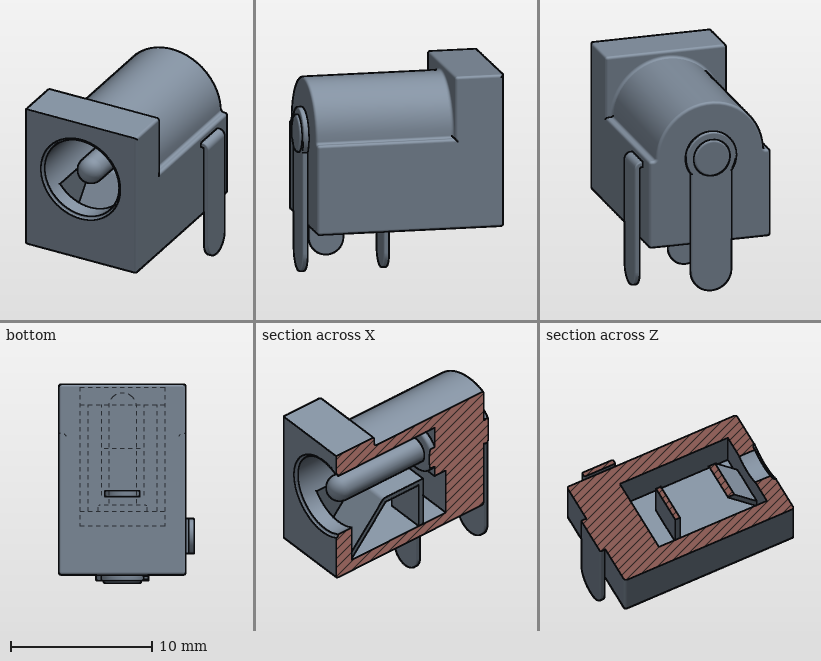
import cadquery as cq
import math


body_width = 9.0
body_length = 13.5
body_height = 11.0
front_block_length = 3.5
axis_z = 6.5
barrel_radius = 4.0
body_round = 0.2

bore_radius = 3.0
bore_depth = 9.0
boss_diameter = 3.5
boss_length = 0.5
pin_diameter = 1.95
pin_tip_y = 0.6

chamber_front_y = 1.45
chamber_end_y = 10.0
chamber_floor_z = 1.0
chamber_roof_z = axis_z - boss_diameter / 2

sheet = 0.4
sheet_round = 0.1
narrow_leg_width = 2.5
wide_leg_width = 3.0
leg_tip_z = -3.5

spring_leg_y = 7.75
spring_top_z = 5.06
spring_ramp_angle = 49.0
spring_ramp_end_y = 4.35
spring_bend_radius = 0.44

side_leg_y = 10.75
side_leg_top_z = 6.0
side_leg_gap = 0.19
side_bend_radius = 0.5
anchor_depth = 0.58

rear_disc_radius = 1.87
rivet_diameter = 2.7
rivet_height = 0.19
rivet_round = 0.17

half_width = body_width / 2


def y_cylinder(radius, y_start, y_end):
    """Cylinder on the socket axis between two Y positions."""
    plane = cq.Workplane("XZ", origin=(0, y_start, axis_z))
    return plane.circle(radius).extrude(y_start - y_end)


def make_housing():
    """Rounded block with a barrel on its shoulders behind a taller front block.

    The front top edge and the corners between shoulders and front block stay sharp.
    """
    placing = (True, False, False)
    lower = cq.Workplane("XY").box(body_width, body_length, axis_z, centered=placing)
    front = cq.Workplane("XY").box(body_width, front_block_length, body_height, centered=placing)
    barrel = y_cylinder(barrel_radius, 0, body_length)
    housing = lower.union(front).union(barrel).clean()
    shoulder_middle_x = (half_width + barrel_radius) / 2
    sharp_points = [
        (0, 0, body_height),
        (shoulder_middle_x, front_block_length, axis_z),
        (-shoulder_middle_x, front_block_length, axis_z),
    ]
    rounded_edges = housing.edges()
    for point in sharp_points:
        sharp_edge = cq.selectors.NearestToPointSelector(point)
        rounded_edges = rounded_edges.edges(cq.selectors.InverseSelector(sharp_edge))
    return rounded_edges.fillet(body_round)


def make_socket_cavity():
    """Bore with a rounded mouth, joined to the spring chamber below it."""
    bore = y_cylinder(bore_radius, 0, bore_depth)
    mouth_radius = bore_radius + body_round
    mouth = (
        cq.Workplane("XY")
        .lineTo(mouth_radius, 0)
        .radiusArc((bore_radius, body_round), -body_round)
        .lineTo(0, body_round)
        .close()
        .revolve(360, (0, 0), (0, 1))
        .translate((0, 0, axis_z))
    )
    chamber = cq.Workplane("XY").box(
        2 * bore_radius,
        chamber_end_y - chamber_front_y,
        chamber_roof_z - chamber_floor_z,
        centered=(True, False, False),
    )
    return bore.union(mouth).union(chamber.translate((0, chamber_front_y, chamber_floor_z)))


def make_centre_pin():
    """Round-nosed pin standing on a boss at the bottom of the bore."""
    pin_radius = pin_diameter / 2
    nose_y = pin_tip_y + pin_radius
    pin = (
        cq.Workplane("XY")
        .moveTo(0, pin_tip_y)
        .radiusArc((pin_radius, nose_y), -pin_radius)
        .lineTo(pin_radius, body_length)
        .lineTo(0, body_length)
        .close()
        .revolve(360, (0, 0), (0, 1))
        .translate((0, 0, axis_z))
    )
    boss = y_cylinder(boss_diameter / 2, bore_depth - boss_length, bore_depth)
    boss = boss.faces("<Y").edges().fillet(body_round)
    return pin.union(boss)


def leg_outline(plane, width, top_z):
    """Leg from top_z down to a fully rounded tip, drawn on a vertical plane."""
    half = width / 2
    return (
        plane.moveTo(-half, top_z)
        .lineTo(-half, leg_tip_z + half)
        .threePointArc((0, leg_tip_z), (half, leg_tip_z + half))
        .lineTo(half, top_z)
        .close()
    )


def make_spring_contact():
    """Sheet that ramps up under the centre pin, runs back and bends down into a leg."""
    slope = math.tan(math.radians(spring_ramp_angle))
    ramp_foot_z = chamber_floor_z - sheet
    ramp_foot_y = spring_ramp_end_y - (spring_top_z - ramp_foot_z) / slope
    ramp_sheet_y = sheet / math.sin(math.radians(spring_ramp_angle))
    inner_bend_y = spring_ramp_end_y + ramp_sheet_y - sheet / slope
    blade = (
        cq.Workplane("YZ")
        .moveTo(ramp_foot_y, ramp_foot_z)
        .lineTo(spring_ramp_end_y, spring_top_z)
        .lineTo(spring_leg_y + sheet / 2, spring_top_z)
        .lineTo(spring_leg_y + sheet / 2, ramp_foot_z)
        .lineTo(spring_leg_y - sheet / 2, ramp_foot_z)
        .lineTo(spring_leg_y - sheet / 2, spring_top_z - sheet)
        .lineTo(inner_bend_y, spring_top_z - sheet)
        .lineTo(ramp_foot_y + ramp_sheet_y, ramp_foot_z)
        .close()
        .extrude(wide_leg_width / 2, both=True)
    )
    ramp_top_edge = cq.selectors.NearestToPointSelector((0, spring_ramp_end_y, spring_top_z))
    blade = blade.edges(ramp_top_edge).fillet(spring_bend_radius)
    plane = cq.Workplane("XZ", origin=(0, spring_leg_y, 0))
    leg = leg_outline(plane, narrow_leg_width, chamber_floor_z).extrude(sheet / 2, both=True)
    return blade.union(leg.faces("<Y or >Y").edges().fillet(sheet_round))


def make_side_terminal():
    """Sheet leaving the +X wall and bending down into a leg."""
    outer_x = half_width + side_leg_gap + sheet
    inner_x = outer_x - sheet
    root_x = half_width - anchor_depth
    inner_bend = side_bend_radius - sheet
    strip = (
        cq.Workplane("XZ", origin=(0, side_leg_y, 0))
        .moveTo(root_x, side_leg_top_z)
        .lineTo(outer_x - side_bend_radius, side_leg_top_z)
        .radiusArc((outer_x, side_leg_top_z - side_bend_radius), side_bend_radius)
        .lineTo(outer_x, leg_tip_z)
        .lineTo(inner_x, leg_tip_z)
        .lineTo(inner_x, side_leg_top_z - side_bend_radius)
        .radiusArc((inner_x - inner_bend, side_leg_top_z - sheet), -inner_bend)
        .lineTo(root_x, side_leg_top_z - sheet)
        .close()
        .extrude(narrow_leg_width / 2, both=True)
    )
    plane = cq.Workplane("YZ", origin=(root_x, side_leg_y, 0))
    outline = leg_outline(plane, narrow_leg_width, side_leg_top_z).extrude(outer_x - root_x)
    leg = strip.intersect(outline)
    return leg.edges("not |Y").fillet(sheet_round)


def make_rear_terminal():
    """Disc with a leg lying on the rear wall, held by the rivet head of the centre pin."""
    plane = cq.Workplane("XZ", origin=(0, body_length + sheet, 0))
    leg = leg_outline(plane, wide_leg_width, axis_z).extrude(sheet)
    plate = leg.union(y_cylinder(rear_disc_radius, body_length, body_length + sheet))
    plate = plate.faces("<Y or >Y").edges().fillet(sheet_round)
    rivet = y_cylinder(rivet_diameter / 2, body_length, body_length + sheet + rivet_height)
    return plate.union(rivet.faces(">Y").edges().fillet(rivet_round))


result = (
    make_housing()
    .cut(make_socket_cavity())
    .union(make_centre_pin())
    .union(make_spring_contact())
    .union(make_side_terminal())
    .union(make_rear_terminal())
)